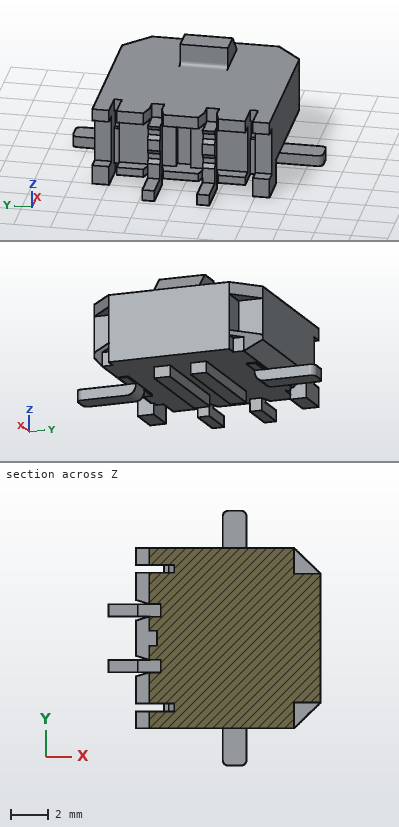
import cadquery as cq


body_length = 9.88
body_half_width = 4.83
body_top = 4.45
body_bottom = 0.7
corner_chamfer_x = 1.42
corner_chamfer_y = 1.38
edge_chamfer_top = 1.47
edge_chamfer = edge_chamfer_top - body_bottom
leg_length = 1.9
leg_bottom = 0.07

window_bottom = 1.76
window_top = 3.78
low_step_length = 0.61

recess_depth = 0.71
recess_bottom = 1.15
recess_top = window_top
groove_width = 0.79
groove_depth = 0.41

slot_outer = 3.92
slot_inner = 3.51
slot_depth = 1.49
pocket_bottom = 2.75
pocket_depth = 0.26
pocket_slope = 0.29

latch_start = 6.58
latch_flat_end = 7.9
latch_end = 9.08
latch_top = 5.64
latch_width = 2.61
latch_fillet = 0.25

terminal_pitch = 2.99
terminal_width = 0.67
terminal_back = 0.1
terminal_top = 3.66
terminal_slot_depth = 1.32
tail_reach = 1.47
tail_height = 0.61
tail_front = 0.75
flare_width = 1.09
flare_depth = 0.68
dent_depth = 0.16
dent_slope = 0.25
dent_flat = 0.3
dent_pitch = 1.4

nail_reach = 6.82
nail_inner = 3.41
nail_middle_x = 5.28
nail_width = 1.28
nail_height = tail_height
nail_bend_radius = 0.5
nail_corner_radius = 0.3
shoulder_width = 3.74
shoulder_slope = body_bottom - nail_height

foot_start = 2.18
foot_end = 8.18
foot_inner = 0.59
foot_outer = terminal_pitch / 2

SIDES = (-1, 1)


def block(x_range, y_range, z_range):
    """Box spanning the three given (from, to) ranges, each in either order."""
    spans = [sorted(limits) for limits in (x_range, y_range, z_range)]
    sizes = [high - low for low, high in spans]
    corner = tuple(low for low, high in spans)
    return cq.Workplane("XY").box(*sizes, centered=False).translate(corner)


def side_prism(points, y_from, y_to):
    """XZ outline extruded between two Y positions."""
    low, high = sorted((y_from, y_to))
    return cq.Workplane("XZ", origin=(0, high, 0)).polyline(points).close().extrude(high - low)


def housing_block():
    """Plain housing with bevelled mating corners, bevelled lower edges and rear legs."""
    corner_x = body_length - corner_chamfer_x
    corner_y = body_half_width - corner_chamfer_y
    plan = [
        (0, -body_half_width),
        (corner_x, -body_half_width),
        (body_length, -corner_y),
        (body_length, corner_y),
        (corner_x, body_half_width),
        (0, body_half_width),
    ]
    height = body_top - body_bottom
    body = cq.Workplane("XY", origin=(0, 0, body_bottom)).polyline(plan).close().extrude(height)
    bottom_half_width = body_half_width - edge_chamfer
    for side in SIDES:
        bevel = [
            (side * body_half_width, body_bottom),
            (side * body_half_width, edge_chamfer_top),
            (side * bottom_half_width, body_bottom),
        ]
        bevel_cut = cq.Workplane("YZ", origin=(leg_length, 0, 0)).polyline(bevel).close()
        body = body.cut(bevel_cut.extrude(body_length - leg_length))
        leg_y = (side * slot_outer, side * body_half_width)
        body = body.union(block((0, leg_length), leg_y, (leg_bottom, recess_bottom)))
    return body


def cut_corner_steps(body):
    """Square off the bevelled mating corners over the window and low step heights."""
    step_y = body_half_width - corner_chamfer_y
    window_x = (body_length - corner_chamfer_x, body_length)
    low_step_x = (body_length - low_step_length, body_length)
    for side in SIDES:
        y_range = (side * step_y, side * body_half_width)
        body = body.cut(block(window_x, y_range, (window_bottom, window_top)))
        body = body.cut(block(low_step_x, y_range, (body_bottom, edge_chamfer_top)))
    return body


def cut_rear_recess(body):
    """Full-width rear recess with a vertical groove in its wall."""
    z_range = (recess_bottom, recess_top)
    body = body.cut(block((0, recess_depth), (-body_half_width, body_half_width), z_range))
    groove_x = (recess_depth, recess_depth + groove_depth)
    return body.cut(block(groove_x, (-groove_width / 2, groove_width / 2), z_range))


def cut_nail_slots(body):
    """Through slots beside the legs, each deepened to a sloped pocket under the roof."""
    pocket_end = slot_depth + pocket_depth
    profile = [
        (0, body_bottom),
        (slot_depth, body_bottom),
        (slot_depth, pocket_bottom),
        (pocket_end, pocket_bottom),
        (pocket_end, recess_top - pocket_slope),
        (pocket_end + pocket_slope, recess_top),
        (slot_depth, recess_top),
        (slot_depth, body_top),
        (0, body_top),
    ]
    for side in SIDES:
        body = body.cut(side_prism(profile, side * slot_inner, side * slot_outer))
    return body


def terminal_slot(center_y):
    """Vertical slot for one terminal, flared towards the rear."""
    half_width = terminal_width / 2
    half_flare = flare_width / 2
    plan = [
        (0, -half_flare),
        (flare_depth, -half_width),
        (terminal_slot_depth, -half_width),
        (terminal_slot_depth, half_width),
        (flare_depth, half_width),
        (0, half_flare),
    ]
    slot = cq.Workplane("XY", origin=(0, center_y, body_bottom)).polyline(plan).close()
    return slot.extrude(body_top - body_bottom)


def terminal(center_y):
    """Upright blade with two dents in its rear edge and a solder tail."""
    dent_x = terminal_back + dent_depth
    upper_flat_top = terminal_top - dent_slope
    upper_flat_bottom = upper_flat_top - dent_flat
    profile = [(-tail_reach, 0), (-tail_reach, tail_height), (terminal_back, tail_height)]
    for drop in (dent_pitch, 0):
        profile += [
            (terminal_back, upper_flat_bottom - dent_slope - drop),
            (dent_x, upper_flat_bottom - drop),
            (dent_x, upper_flat_top - drop),
            (terminal_back, terminal_top - drop),
        ]
    profile += [
        (terminal_slot_depth, terminal_top),
        (terminal_slot_depth, body_bottom),
        (tail_front, body_bottom),
        (tail_front, 0),
    ]
    half_width = terminal_width / 2
    return side_prism(profile, center_y - half_width, center_y + half_width)


def latch():
    """Ramp on the roof with a fillet at the foot of its upright rear face."""
    outline = (
        cq.Workplane("XZ", origin=(0, latch_width / 2, 0))
        .moveTo(latch_start - latch_fillet, body_top)
        .radiusArc((latch_start, body_top + latch_fillet), -latch_fillet)
        .lineTo(latch_start, latch_top)
        .lineTo(latch_flat_end, latch_top)
        .lineTo(latch_end, body_top)
        .close()
    )
    return outline.extrude(latch_width)


def solder_nail(side):
    """Flat tail with a bend-rounded inner edge and a sloped shoulder against the housing."""
    x_range = (nail_middle_x - nail_width / 2, nail_middle_x + nail_width / 2)
    tail = block(x_range, (side * nail_inner, side * nail_reach), (0, nail_height))
    outer_face, inner_face = (">Y", "<Y") if side > 0 else ("<Y", ">Y")
    tail = tail.faces(outer_face).edges("|Z").fillet(nail_corner_radius)
    tail = tail.faces(inner_face).edges("<Z").fillet(nail_bend_radius)
    half_shoulder = shoulder_width / 2
    shoulder_profile = [
        (nail_middle_x - half_shoulder, nail_height),
        (nail_middle_x - half_shoulder + shoulder_slope, body_bottom),
        (nail_middle_x + half_shoulder - shoulder_slope, body_bottom),
        (nail_middle_x + half_shoulder, nail_height),
    ]
    shoulder = side_prism(shoulder_profile, side * nail_inner, side * slot_outer)
    return tail.union(shoulder)


def foot(side):
    """Standoff rail under the housing."""
    y_range = (side * foot_inner, side * foot_outer)
    return block((foot_start, foot_end), y_range, (leg_bottom, body_bottom))


result = housing_block()
result = cut_corner_steps(result)
result = cut_rear_recess(result)
result = cut_nail_slots(result)
result = result.union(latch())
for side in SIDES:
    terminal_y = side * terminal_pitch / 2
    result = result.cut(terminal_slot(terminal_y))
    result = result.union(terminal(terminal_y))
    result = result.union(solder_nail(side))
    result = result.union(foot(side))